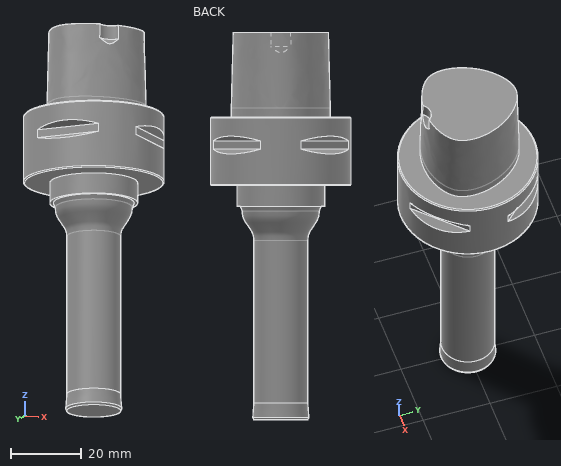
import cadquery as cq
import math

TOP_Z = 24.0
TAPER_START_Z = 2.6
FLANGE_BOTTOM_Z = -19.5
COLLAR_BOTTOM_Z = -25.35
LEDGE_BOTTOM_Z = -26.7
NECK_BOTTOM_Z = -35.1
TIP_TOP_Z = -81.2
TIP_WIDEST_Z = -85.3
BOTTOM_Z = -86.0

FLANGE_DIAMETER = 40.0
FLANGE_CHAMFER = 0.35
COLLAR_DIAMETER = 25.0
LEDGE_DIAMETER = 23.0
NECK_TOP_DIAMETER = 22.0
SHANK_DIAMETER = 15.4
TIP_DIAMETER = 16.0
TIP_BOTTOM_DIAMETER = 15.4

POLYGON_BASE_RADIUS = 14.1
POLYGON_LOBE_HEIGHT = 0.9
TAPER_RATIO = 1 / 20
OUTLINE_POINTS = 48

KEYWAY_RADIUS = 3.5
KEYWAY_WALL_Y = -11.1
KEYWAY_STRAIGHT_DEPTH = 4.0

GROOVE_COUNT = 4
GROOVE_FIRST_ANGLE = 45.0
GROOVE_Z = -7.97
GROOVE_FLOOR_DISTANCE = 17.6
GROOVE_FLOOR_WIDTH = 2.3
GROOVE_WALL_ANGLE = 30.0
GROOVE_CUTTER_OVERHANG = 1.0


def polygon_point(angle, mean_radius):
    """Point of the three-lobed, constant-width outline at a normal angle measured from the +Y lobe."""
    along_lobe = (
        mean_radius * math.cos(angle)
        + 2 * POLYGON_LOBE_HEIGHT * math.cos(2 * angle)
        - POLYGON_LOBE_HEIGHT * math.cos(4 * angle)
    )
    across_lobe = (
        mean_radius * math.sin(angle)
        - 2 * POLYGON_LOBE_HEIGHT * math.sin(2 * angle)
        - POLYGON_LOBE_HEIGHT * math.sin(4 * angle)
    )
    return (-across_lobe, along_lobe)


def polygon_outline(z, mean_radius):
    """Closed three-lobed wire at height z."""
    step = 2 * math.pi / OUTLINE_POINTS
    points = [polygon_point(i * step, mean_radius) for i in range(OUTLINE_POINTS)]
    return cq.Workplane("XY", origin=(0, 0, z)).spline(points, periodic=True).close()


def make_polygon_shank():
    """Straight three-lobed foot with a slightly tapered shank above it."""
    taper_height = TOP_Z - TAPER_START_Z
    top_radius = POLYGON_BASE_RADIUS - taper_height * TAPER_RATIO / 2
    foot = polygon_outline(0, POLYGON_BASE_RADIUS).extrude(TAPER_START_Z)
    base_wire = polygon_outline(TAPER_START_Z, POLYGON_BASE_RADIUS).wires().val()
    top_wire = polygon_outline(TOP_Z, top_radius).wires().val()
    taper = cq.Solid.makeLoft([base_wire, top_wire], True)
    return foot.union(cq.Workplane(taper))


def make_keyway_cutter():
    """Upright round cutter with a 45 degree pointed end."""
    axis_y = KEYWAY_WALL_Y - KEYWAY_RADIUS
    straight_end_z = TOP_Z - KEYWAY_STRAIGHT_DEPTH
    return (
        cq.Workplane("XZ", origin=(0, axis_y, 0))
        .moveTo(0, TOP_Z)
        .lineTo(KEYWAY_RADIUS, TOP_Z)
        .lineTo(KEYWAY_RADIUS, straight_end_z)
        .lineTo(0, straight_end_z - KEYWAY_RADIUS)
        .close()
        .revolve(360, (0, 0, 0), (0, 1, 0))
    )


def make_flange():
    return (
        cq.Workplane("XY", origin=(0, 0, FLANGE_BOTTOM_Z))
        .circle(FLANGE_DIAMETER / 2)
        .extrude(-FLANGE_BOTTOM_Z)
        .edges("%CIRCLE")
        .chamfer(FLANGE_CHAMFER)
    )


def make_groove_cutter():
    """Groove across the +X side of the flange: flat floor with walls flaring outward."""
    outer_distance = FLANGE_DIAMETER / 2 + GROOVE_CUTTER_OVERHANG
    flare = (outer_distance - GROOVE_FLOOR_DISTANCE) * math.tan(math.radians(GROOVE_WALL_ANGLE))
    floor_half = GROOVE_FLOOR_WIDTH / 2
    mouth_half = floor_half + flare
    return (
        cq.Workplane("XZ")
        .moveTo(GROOVE_FLOOR_DISTANCE, GROOVE_Z - floor_half)
        .lineTo(outer_distance, GROOVE_Z - mouth_half)
        .lineTo(outer_distance, GROOVE_Z + mouth_half)
        .lineTo(GROOVE_FLOOR_DISTANCE, GROOVE_Z + floor_half)
        .close()
        .extrude(FLANGE_DIAMETER / 2, both=True)
    )


def make_bar():
    """Collar, ledge, S-curved neck and long cylinder turned about Z."""
    neck_end = (SHANK_DIAMETER / 2, NECK_BOTTOM_Z)
    straight_down = (0, -1)
    return (
        cq.Workplane("XZ")
        .moveTo(0, FLANGE_BOTTOM_Z)
        .lineTo(COLLAR_DIAMETER / 2, FLANGE_BOTTOM_Z)
        .lineTo(COLLAR_DIAMETER / 2, COLLAR_BOTTOM_Z)
        .lineTo(LEDGE_DIAMETER / 2, COLLAR_BOTTOM_Z)
        .lineTo(NECK_TOP_DIAMETER / 2, LEDGE_BOTTOM_Z)
        .spline([neck_end], tangents=[straight_down, straight_down], includeCurrent=True)
        .lineTo(SHANK_DIAMETER / 2, TIP_TOP_Z)
        .lineTo(0, TIP_TOP_Z)
        .close()
        .revolve(360, (0, 0, 0), (0, 1, 0))
    )


def make_holder():
    holder = make_flange().union(make_polygon_shank()).union(make_bar())
    holder = holder.cut(make_keyway_cutter())
    groove_cutter = make_groove_cutter()
    for i in range(GROOVE_COUNT):
        angle = GROOVE_FIRST_ANGLE + i * 360 / GROOVE_COUNT
        holder = holder.cut(groove_cutter.rotate((0, 0, 0), (0, 0, 1), angle))
    return holder


def make_tip():
    """Slightly flared end piece with a chamfered rim."""
    return (
        cq.Workplane("XZ")
        .moveTo(0, TIP_TOP_Z)
        .lineTo(SHANK_DIAMETER / 2, TIP_TOP_Z)
        .lineTo(TIP_DIAMETER / 2, TIP_WIDEST_Z)
        .lineTo(TIP_BOTTOM_DIAMETER / 2, BOTTOM_Z)
        .lineTo(0, BOTTOM_Z)
        .close()
        .revolve(360, (0, 0, 0), (0, 1, 0))
    )


holder = make_holder()
tip = make_tip()

result = cq.Compound.makeCompound([holder.val(), tip.val()])